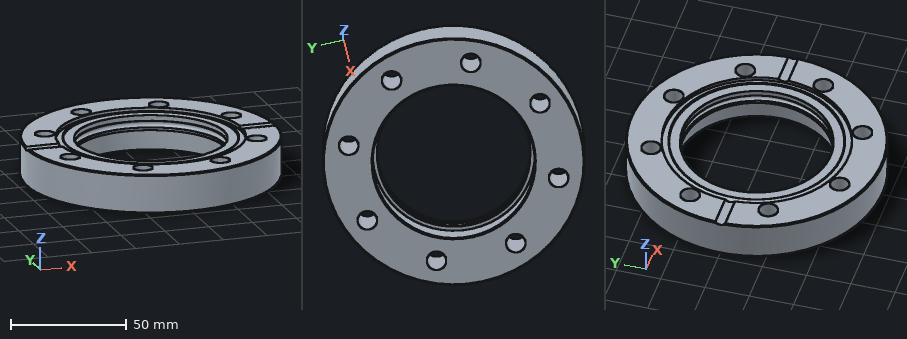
import cadquery as cq
import math

outer_diameter = 113.5
thickness = 17.5
rim_chamfer = 0.5

recess_diameter = 82.5
knife_diameter = 76.6
knife_depth = 0.6
knife_slope_angle = 20
knife_inner_run = 0.3
seat_depth = 0.9

bore_diameter = 66.5
socket_diameter = 70.3
relief_depth = 3.5
relief_radius = 1.5
socket_top_depth = 7.7
socket_mouth_chamfer = 0.5

bolt_count = 8
bolt_circle_diameter = 92.2
bolt_hole_diameter = 8.4

channel_width = 4.4
channel_depth = 0.9


def flange_body():
    """Revolve the ring section, including the knife edge and the stepped bore."""
    outer_radius = outer_diameter / 2
    recess_radius = recess_diameter / 2
    knife_radius = knife_diameter / 2
    bore_radius = bore_diameter / 2
    socket_radius = socket_diameter / 2
    slope_drop = (recess_radius - knife_radius) * math.tan(math.radians(knife_slope_angle))
    recess_floor_z = thickness - knife_depth - slope_drop
    seat_z = thickness - seat_depth
    relief_top_z = thickness - relief_depth
    socket_top_z = thickness - socket_top_depth

    section = (
        cq.Workplane("XZ")
        .moveTo(socket_radius, socket_mouth_chamfer)
        .lineTo(socket_radius + socket_mouth_chamfer, 0)
        .lineTo(outer_radius - rim_chamfer, 0)
        .lineTo(outer_radius, rim_chamfer)
        .lineTo(outer_radius, thickness - rim_chamfer)
        .lineTo(outer_radius - rim_chamfer, thickness)
        .lineTo(recess_radius, thickness)
        .lineTo(recess_radius, recess_floor_z)
        .lineTo(knife_radius, thickness - knife_depth)
        .lineTo(knife_radius - knife_inner_run, seat_z)
        .lineTo(bore_radius, seat_z)
        .lineTo(bore_radius, relief_top_z)
        .threePointArc(
            (bore_radius + relief_radius, relief_top_z - relief_radius),
            (bore_radius, relief_top_z - 2 * relief_radius),
        )
        .lineTo(bore_radius, socket_top_z)
        .lineTo(socket_radius, socket_top_z)
        .close()
    )
    return section.revolve(360, (0, 0, 0), (0, 1, 0))


def bolt_holes():
    """Through holes on the bolt circle, straddling the X and Y axes."""
    half_pitch_angle = 180 / bolt_count
    return (
        cq.Workplane("XY")
        .polarArray(bolt_circle_diameter / 2, half_pitch_angle, 360, bolt_count)
        .circle(bolt_hole_diameter / 2)
        .extrude(thickness)
    )


def leak_channels():
    """Channels along X from the rim to the recess, stopping short of the knife edge."""
    channel_radius = (channel_width**2 / 4 + channel_depth**2) / (2 * channel_depth)
    axis_z = thickness - channel_depth + channel_radius
    rod = (
        cq.Workplane("YZ")
        .center(0, axis_z)
        .circle(channel_radius)
        .extrude(outer_diameter / 2, both=True)
    )
    recess_keep_out = cq.Workplane("XY").circle(recess_diameter / 2).extrude(axis_z + channel_radius)
    return rod.cut(recess_keep_out)


result = flange_body().cut(bolt_holes()).cut(leak_channels())